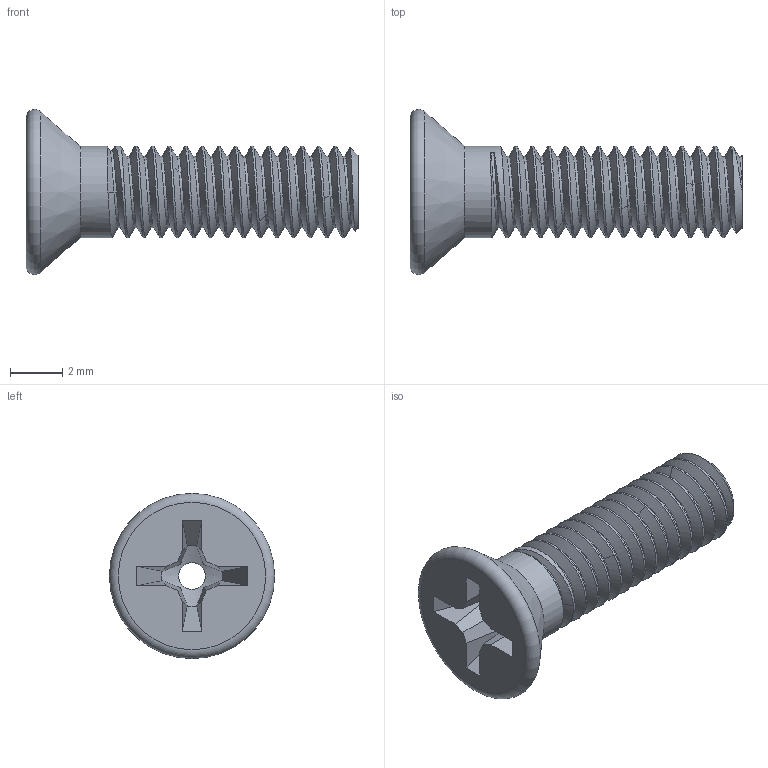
import cadquery as cq
import math


screw_length = 12.7
head_radius = 3.16
rim_radius = 0.34
head_half_angle = math.radians(41)
bore_radius = 0.515

major_diameter = 3.505
major_radius = major_diameter / 2
pitch = 25.4 / 40
flank_angle = math.radians(30)
thread_depth = 0.6134 * pitch
groove_width = pitch * 7 / 8
end_chamfer = 0.35
full_groove_x = 3.414
full_groove_angle = math.pi
runout_start_angle = math.radians(30)
runout_start_depth = 0.02
groove_overcut = 0.05
points_per_turn = 24
thread_stretches = 12

wing_reach = 2.136
wing_end_angle = math.radians(26.5)
wing_half_width = 0.376
wing_draft = math.radians(5.4)
corner_offset = 0.55
corner_draft = math.radians(2.6)
corner_slope = math.tan(math.radians(67.5))
wing_floor_radius = 1.16
recess_floor_angle = math.radians(22)


def make_blank():
    """Head, shank and chamfered tip, turned about the X axis."""
    face_radius = head_radius - rim_radius
    rim_x = rim_radius * (1 + math.sin(head_half_angle))
    rim_y = face_radius + rim_radius * math.cos(head_half_angle)
    cone_end_x = rim_x + (rim_y - major_radius) / math.tan(head_half_angle)
    return (
        cq.Workplane("XY")
        .moveTo(0, 0)
        .lineTo(0, face_radius)
        .threePointArc((rim_radius, head_radius), (rim_x, rim_y))
        .lineTo(cone_end_x, major_radius)
        .lineTo(screw_length - end_chamfer, major_radius)
        .lineTo(screw_length, major_radius - end_chamfer)
        .lineTo(screw_length, 0)
        .close()
        .revolve(360, (0, 0, 0), (1, 0, 0))
    )


def groove_depth(angle):
    """Depth below the major radius, growing through the run-out to full thread."""
    progress = (angle - runout_start_angle) / (full_groove_angle - runout_start_angle)
    return runout_start_depth + (thread_depth - runout_start_depth) * min(progress, 1)


def groove_corners(angle):
    """The four corners of the groove section at one angle around the axis."""
    centre_x = full_groove_x + pitch * (angle - full_groove_angle) / (2 * math.pi)
    root_radius = major_radius - groove_depth(angle)
    outer_radius = major_radius + groove_overcut
    root_half = groove_width / 2 - thread_depth * math.tan(flank_angle)
    outer_half = root_half + (outer_radius - root_radius) * math.tan(flank_angle)
    section = [
        (-outer_half, outer_radius),
        (-root_half, root_radius),
        (root_half, root_radius),
        (outer_half, outer_radius),
    ]
    return [
        cq.Vector(centre_x + offset, radius * math.cos(angle), radius * math.sin(angle))
        for offset, radius in section
    ]


def make_groove(start_angle, end_angle):
    """Helical groove solid: ruled walls between the paths of the section corners."""
    steps = math.ceil((end_angle - start_angle) / (2 * math.pi) * points_per_turn)
    angles = [start_angle + (end_angle - start_angle) * i / steps for i in range(steps + 1)]
    sections = [groove_corners(angle) for angle in angles]
    paths = [cq.Edge.makeSpline(list(path), parameters=angles) for path in zip(*sections)]
    walls = [cq.Face.makeRuledSurface(paths[i - 1], paths[i]) for i in range(len(paths))]
    caps = [
        cq.Face.makeFromWires(cq.Wire.makePolygon(section, close=True))
        for section in (sections[0], sections[-1])
    ]
    return cq.Solid.makeSolid(cq.Shell.makeShell(walls + caps)).fix()


def cross_outline(depth):
    """Outline points of the four-winged cross at one depth."""
    half_width = wing_half_width - depth * math.tan(wing_draft)
    corner = corner_offset - depth * math.tan(corner_draft)
    shoulder = corner + (corner - half_width) * corner_slope
    quadrant = [
        (wing_reach, half_width),
        (shoulder, half_width),
        (corner, corner),
        (half_width, shoulder),
        (half_width, wing_reach),
    ]
    points = []
    for _ in range(4):
        points += quadrant
        quadrant = [(-v, u) for u, v in quadrant]
    return points


def make_recess():
    """Drafted cross, limited by sloping wing ends and a conical floor."""
    wing_depth = (wing_reach - wing_floor_radius) / math.tan(wing_end_angle)
    apex_depth = wing_depth + wing_floor_radius * math.tan(recess_floor_angle)
    end_reach = wing_reach - apex_depth * math.tan(wing_end_angle)
    rim_depth = apex_depth - 2 * wing_reach * math.tan(recess_floor_angle)

    cross = (
        cq.Workplane("YZ")
        .polyline(cross_outline(0))
        .close()
        .workplane(offset=apex_depth)
        .polyline(cross_outline(apex_depth))
        .close()
        .loft(ruled=True)
    )
    wing_ends = (
        cq.Workplane("YZ")
        .rect(2 * wing_reach, 2 * wing_reach)
        .workplane(offset=apex_depth)
        .rect(2 * end_reach, 2 * end_reach)
        .loft(ruled=True)
    )
    floor = (
        cq.Workplane("XY")
        .polyline([(0, 0), (apex_depth, 0), (rim_depth, 2 * wing_reach), (0, 2 * wing_reach)])
        .close()
        .revolve(360, (0, 0, 0), (1, 0, 0))
    )
    return cross.intersect(wing_ends).intersect(floor)


def cut_thread(blank):
    """Cut the run-out, then equal stretches of full thread out past the tip."""
    turns = (screw_length + pitch - full_groove_x) / pitch
    stretch_angle = 2 * math.pi * turns / thread_stretches
    bounds = [full_groove_angle + stretch_angle * i for i in range(thread_stretches + 1)]
    screw = blank
    for start_angle, end_angle in zip([runout_start_angle] + bounds, bounds):
        screw = screw.cut(cq.Workplane(make_groove(start_angle, end_angle)))
    return screw


bore = cq.Workplane("YZ").circle(bore_radius).extrude(screw_length)
result = cut_thread(make_blank()).cut(make_recess()).cut(bore)